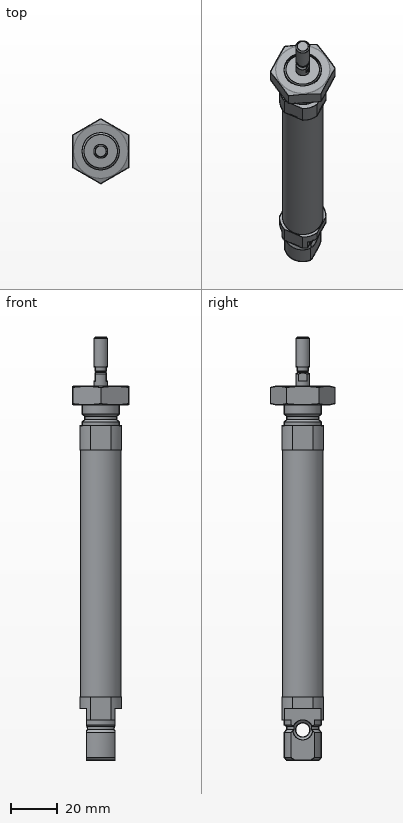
import cadquery as cq
import math

total_height = 181.0
face_z = 160.0

thread_diameter = 16.0
root_diameter = 13.8
thread_tip_diameter = 14.3
thread_chamfer = (thread_diameter - thread_tip_diameter) / 2

tube_diameter = 17.4
head_across_flats = 18.0
head_corner_diameter = 20.0
front_head_bottom = 132.7
front_head_top = 143.2
rear_head_bottom = 17.2
rear_head_top = 27.2

front_undercut_start = 144.8
front_root_bottom = 145.7
front_root_top = 147.2
front_undercut_end = 148.0

rear_tip_diameter = 13.8
rear_tip_chamfer = 1.3
rear_undercut_start = 12.0
rear_root_bottom = 13.2
rear_root_top = 14.5
rear_undercut_end = 15.2
tongue_thickness = 12.3
tongue_top = 22.0
pivot_z = 13.0
pivot_diameter = 6.0
pivot_sink_diameter = 8.5
pivot_sink_depth = (pivot_sink_diameter - pivot_diameter) / 2

nut_across_flats = 24.0
nut_height = 8.0
nut_chamfer_diameter = 23.2
nut_chamfer_drop = 0.5

rod_diameter = 6.0
rod_neck_diameter = 4.9
rod_groove_diameter = 4.2
rod_tip_chamfer = 0.63
rod_thread_bottom = 168.3
rod_neck_bottom = 166.5
rod_groove_top = 166.3
rod_groove_bottom = 166.0
rod_shoulder_z = 165.3
rod_across_flats = 4.9
rod_flat_bottom = 162.2


def turned(profile):
    """Solid of revolution about Z from (diameter, z) pairs listed from bottom to top."""
    points = [(diameter / 2, z) for diameter, z in profile]
    outline = [(0, profile[0][1])] + points + [(0, profile[-1][1])]
    return cq.Workplane("XZ").polyline(outline).close().revolve(360, (0, 0), (0, 1))


def block(size_x, size_y, bottom, top):
    """Box centred on the Z axis between two heights."""
    return cq.Workplane("XY").workplane(offset=bottom).rect(size_x, size_y).extrude(top - bottom)


def squared_head(bottom, top):
    """Cylinder cut to a square with four flats."""
    round_head = turned([(head_corner_diameter, bottom), (head_corner_diameter, top)])
    return round_head.intersect(block(head_across_flats, head_across_flats, bottom, top))


def pivot_hole():
    """Cross hole along X, countersunk on both tongue faces."""
    half = tongue_thickness / 2
    bore_radius = pivot_diameter / 2
    sink_radius = pivot_sink_diameter / 2
    outline = [
        (-half, 0),
        (-half, sink_radius),
        (-half + pivot_sink_depth, bore_radius),
        (half - pivot_sink_depth, bore_radius),
        (half, sink_radius),
        (half, 0),
    ]
    hole = cq.Workplane("XZ").polyline(outline).close().revolve(360, (0, 0), (1, 0))
    return hole.translate((0, 0, pivot_z))


def make_housing():
    body = turned([
        (rear_tip_diameter, 0),
        (thread_diameter, rear_tip_chamfer),
        (thread_diameter, rear_undercut_start),
        (root_diameter, rear_root_bottom),
        (root_diameter, rear_root_top),
        (thread_diameter, rear_undercut_end),
        (thread_diameter, rear_head_bottom),
        (tube_diameter, rear_head_bottom),
        (tube_diameter, front_head_top),
        (thread_diameter, front_head_top),
        (thread_diameter, front_undercut_start),
        (root_diameter, front_root_bottom),
        (root_diameter, front_root_top),
        (thread_diameter, front_undercut_end),
        (thread_diameter, face_z - thread_chamfer),
        (thread_tip_diameter, face_z),
    ])
    body = body.union(squared_head(rear_head_bottom, rear_head_top))
    body = body.union(squared_head(front_head_bottom, front_head_top))

    around_tongue = block(2 * head_corner_diameter, 2 * head_corner_diameter, 0, tongue_top)
    tongue = block(tongue_thickness, 2 * head_corner_diameter, 0, tongue_top)
    body = body.cut(around_tongue.cut(tongue))
    return body.cut(pivot_hole())


def make_nut():
    bottom = face_z - nut_height
    corner_diameter = nut_across_flats / math.cos(math.pi / 6)
    hexagon = (
        cq.Workplane("XY")
        .workplane(offset=bottom)
        .transformed(rotate=(0, 0, 90))
        .polygon(6, corner_diameter)
        .extrude(nut_height)
    )
    chamfered_envelope = turned([
        (nut_chamfer_diameter, bottom),
        (corner_diameter, bottom + nut_chamfer_drop),
        (corner_diameter, face_z - nut_chamfer_drop),
        (nut_chamfer_diameter, face_z),
    ])
    bore = turned([(thread_diameter, bottom), (thread_diameter, face_z)])
    return hexagon.intersect(chamfered_envelope).cut(bore)


def make_rod():
    rod = turned([
        (rod_diameter, face_z),
        (rod_diameter, rod_shoulder_z),
        (rod_groove_diameter, rod_groove_bottom),
        (rod_groove_diameter, rod_groove_top),
        (rod_neck_diameter, rod_neck_bottom),
        (rod_neck_diameter, rod_thread_bottom),
        (rod_diameter, rod_thread_bottom),
        (rod_diameter, total_height - rod_tip_chamfer),
        (rod_diameter - 2 * rod_tip_chamfer, total_height),
    ])
    around_flats = block(2 * rod_diameter, 2 * rod_diameter, rod_flat_bottom, rod_groove_bottom)
    between_flats = block(rod_across_flats, 2 * rod_diameter, rod_flat_bottom, rod_groove_bottom)
    return rod.cut(around_flats.cut(between_flats))


housing = make_housing()
nut = make_nut()
rod = make_rod()

result = cq.Compound.makeCompound([housing.val(), nut.val(), rod.val()])